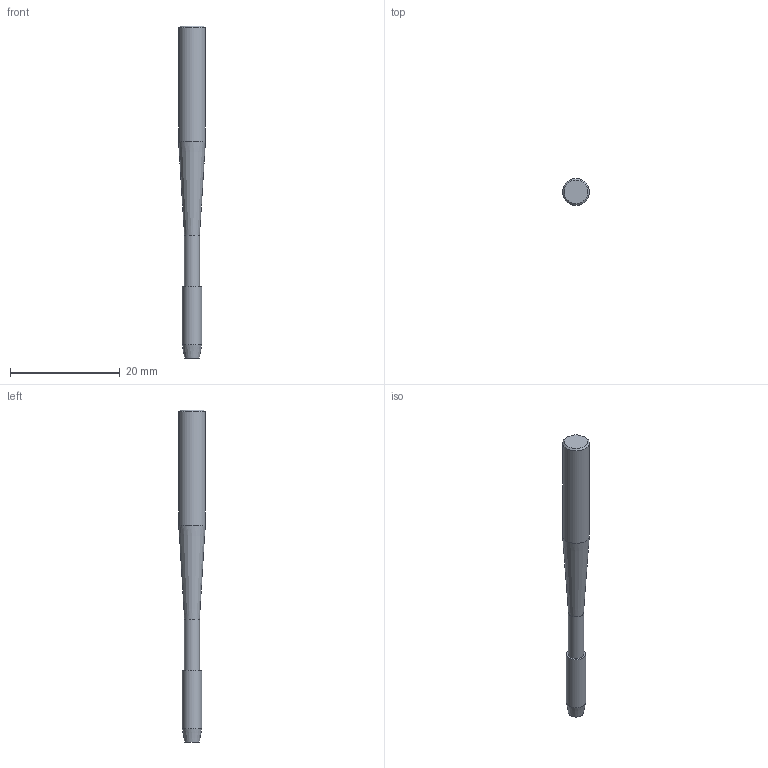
import cadquery as cq

overall_length = 60.6

grip_diameter = 4.9
grip_length = 21.0
grip_chamfer = 0.3
taper_length = 17.2
neck_diameter = 2.75
neck_length = 9.3

tip_diameter = 3.55
nose_length = 2.4
nose_end_diameter = 2.7

grip_bottom = overall_length - grip_length
taper_bottom = grip_bottom - taper_length
tip_top = taper_bottom - neck_length


def make_handle():
    """Grip, taper and neck turned about Z, standing on the tip."""
    grip_radius = grip_diameter / 2
    neck_radius = neck_diameter / 2
    return (
        cq.Workplane("XZ")
        .moveTo(0, tip_top)
        .lineTo(neck_radius, tip_top)
        .lineTo(neck_radius, taper_bottom)
        .lineTo(grip_radius, grip_bottom)
        .lineTo(grip_radius, overall_length)
        .lineTo(0, overall_length)
        .close()
        .revolve(360, (0, 0, 0), (0, 1, 0))
        .faces(">Z")
        .chamfer(grip_chamfer)
    )


def make_tip():
    """Barrel and nose turned about Z, wider than the neck that meets its top face."""
    tip_radius = tip_diameter / 2
    return (
        cq.Workplane("XZ")
        .lineTo(nose_end_diameter / 2, 0)
        .lineTo(tip_radius, nose_length)
        .lineTo(tip_radius, tip_top)
        .lineTo(0, tip_top)
        .close()
        .revolve(360, (0, 0, 0), (0, 1, 0))
    )


handle = make_handle()
tip = make_tip()

result = cq.Compound.makeCompound([handle.val(), tip.val()])